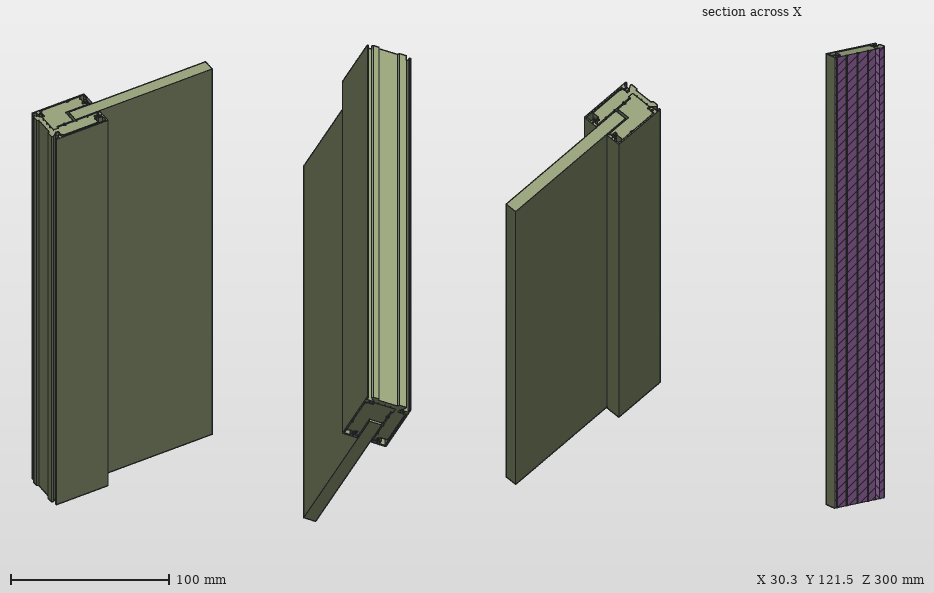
import cadquery as cq

LENGTH = 300.0
RAIL_WIDTH = 30.3
TOTAL_DEPTH = 121.5

GLASS_THICKNESS = 8.5
GLASS_DEPTH = 100.0
GLASS_END_Y = TOTAL_DEPTH - GLASS_DEPTH
GLASS_SIDE_GAP = 1.0
GLASS_END_GAP = 1.8
POCKET_HALF = GLASS_THICKNESS / 2 + GLASS_SIDE_GAP

COVER_TOP = 39.0
COVER_BOTTOM = 1.2
COVER_WALL = 1.0
COVER_OUTER = RAIL_WIDTH / 2
COVER_INNER = COVER_OUTER - COVER_WALL
FLANGE_UNDERSIDE = COVER_TOP - COVER_WALL
LIP_X = 4.8
LIP_EDGE_Y = 37.8
LIP_ROOT_Y = 37.0
PRONG_X = 7.5
PRONG_WIDTH = 0.5
LEG_X = 8.7
LEG_WIDTH = 1.5
HOOK_TIP_X = 10.0
HOOK_TOP = 6.0
HOOK_BOTTOM = 3.5
HOOK_SLOT_OUTER = 12.3
HOOK_SLOT_INNER = 11.5
HOOK_SLOT_FLOOR = 4.5
LEFT_PRONG_Y = 35.7
RIGHT_PRONG_Y = 34.5
LEFT_LEG_Y = 36.3
RIGHT_LEG_Y = 34.8

LEFT_SHOULDER = 34.5
LEFT_SHOULDER_RISE = 1.0
RIGHT_SHOULDER = 32.7
LEFT_CLAMP_OUTER = COVER_INNER
RIGHT_CLAMP_OUTER = 13.5
POST_TOP = 37.2
POST_SLOPE_Y = 35.7
SLOT_INNER = 7.0
SLOT_OUTER = 8.5
SLOT_FLOOR = 33.5
SLOT_LIP = 0.45
LEDGE_Y = GLASS_END_Y - GLASS_END_GAP
CLAMP_PARTING_X = GLASS_THICKNESS / 2
NOTCH_X = 8.7
NOTCH_TOP = 6.3
NOTCH_CHAMFER = 1.5
TAB_X = 6.0
TAB_TOP = 8.0
TAB_BOTTOM = 4.5

FOOT_RECESS = 1.2
FOOT_SLOPE = 0.5
FOOT_CHAMFER = 1.0
LEFT_FOOT_OUTER = -12.3
LEFT_FOOT_INNER = -7.5
RIGHT_FOOT_INNER = 6.5
RIGHT_FOOT_OUTER = 11.5
RIGHT_FLANK_X = 10.5
RIGHT_FLANK_Y = 2.7

GROOVE_WIDTH = 0.5
GROOVE_DEPTH = 0.5
FACE_GROOVE_Y = (13.5, 21.5, 29.7)
BASE_GROOVE_X = (-6.0, -1.5, 2.5)
SIDE_GROOVE_Y = 26.5
SIDE_GROOVE_WIDTH = 1.8


def extrude(points):
    """Extrude a closed outline along the whole length of the rail."""
    return cq.Workplane("XY").polyline(points).close().extrude(LENGTH)


def bar(x, y, width, height):
    """Full-length rectangular bar centred on (x, y)."""
    return cq.Workplane("XY").center(x, y).rect(width, height).extrude(LENGTH)


def make_glass():
    middle_y = GLASS_END_Y + GLASS_DEPTH / 2
    return bar(0, middle_y, GLASS_THICKNESS, GLASS_DEPTH)


def make_cover(side, prong_y, leg_y):
    """Cover with a sealing lip, a prong for the clamp slot, a clip leg and a slotted bottom hook.

    side is -1 for the left cover and +1 for the right one.
    """
    outline = [
        (COVER_OUTER, COVER_BOTTOM),
        (COVER_OUTER, COVER_TOP),
        (LIP_X, COVER_TOP),
        (LIP_X, LIP_EDGE_Y),
        (PRONG_X, LIP_ROOT_Y),
        (PRONG_X, prong_y),
        (PRONG_X + PRONG_WIDTH, prong_y),
        (PRONG_X + PRONG_WIDTH, FLANGE_UNDERSIDE),
        (LEG_X, FLANGE_UNDERSIDE),
        (LEG_X + LEG_WIDTH, leg_y),
        (LEG_X + LEG_WIDTH, FLANGE_UNDERSIDE),
        (COVER_INNER, FLANGE_UNDERSIDE),
        (COVER_INNER, HOOK_TOP),
        (HOOK_SLOT_OUTER, HOOK_TOP),
        (HOOK_SLOT_OUTER, HOOK_SLOT_FLOOR),
        (HOOK_SLOT_INNER, HOOK_SLOT_FLOOR),
        (HOOK_SLOT_INNER, HOOK_TOP),
        (HOOK_TIP_X, HOOK_TOP),
        (HOOK_TIP_X, HOOK_BOTTOM),
        (COVER_INNER, HOOK_BOTTOM),
        (COVER_INNER, COVER_BOTTOM),
    ]
    return extrude([(side * x, y) for x, y in outline])


def slotted_post(side, shoulder):
    """Outline of a clamp top, from the glass pocket out to the shoulder."""
    outline = [
        (POCKET_HALF, POST_TOP),
        (SLOT_INNER, POST_SLOPE_Y),
        (SLOT_INNER, SLOT_FLOOR),
        (SLOT_OUTER, SLOT_FLOOR),
        (SLOT_OUTER, POST_SLOPE_Y),
        (SLOT_OUTER + SLOT_LIP, POST_SLOPE_Y),
        (SLOT_OUTER + SLOT_LIP, shoulder),
    ]
    return [(side * x, y) for x, y in outline]


def make_left_clamp():
    clamp = extrude(
        slotted_post(-1, LEFT_SHOULDER)
        + [
            (-LEFT_CLAMP_OUTER + LEFT_SHOULDER_RISE, LEFT_SHOULDER),
            (-LEFT_CLAMP_OUTER, LEFT_SHOULDER + LEFT_SHOULDER_RISE),
            (-LEFT_CLAMP_OUTER, NOTCH_TOP + NOTCH_CHAMFER),
            (-LEFT_CLAMP_OUTER + NOTCH_CHAMFER, NOTCH_TOP),
            (-NOTCH_X, NOTCH_TOP),
            (-NOTCH_X, TAB_BOTTOM),
            (TAB_X, TAB_BOTTOM),
            (TAB_X, TAB_TOP),
            (CLAMP_PARTING_X, TAB_TOP),
            (CLAMP_PARTING_X, LEDGE_Y),
            (-POCKET_HALF, LEDGE_Y),
        ]
    )
    side_groove = bar(-LEFT_CLAMP_OUTER, SIDE_GROOVE_Y, 2 * GROOVE_DEPTH, SIDE_GROOVE_WIDTH)
    face_groove = bar(CLAMP_PARTING_X, FACE_GROOVE_Y[0], 2 * GROOVE_DEPTH, GROOVE_WIDTH)
    return clamp.cut(side_groove).cut(face_groove)


def make_right_clamp():
    """Clamp and base in one piece, joined by a neck beside the tab of the left clamp."""
    clamp = extrude(
        slotted_post(1, RIGHT_SHOULDER)
        + [
            (RIGHT_CLAMP_OUTER, RIGHT_SHOULDER),
            (RIGHT_CLAMP_OUTER, NOTCH_TOP + NOTCH_CHAMFER),
            (RIGHT_CLAMP_OUTER - NOTCH_CHAMFER, NOTCH_TOP),
            (NOTCH_X, NOTCH_TOP),
            (NOTCH_X, TAB_BOTTOM),
            (RIGHT_FLANK_X, RIGHT_FLANK_Y),
            (RIGHT_FOOT_OUTER, FOOT_RECESS),
            (RIGHT_FOOT_OUTER, 0),
            (RIGHT_FOOT_INNER, 0),
            (RIGHT_FOOT_INNER - FOOT_SLOPE, FOOT_RECESS),
            (LEFT_FOOT_INNER + FOOT_SLOPE, FOOT_RECESS),
            (LEFT_FOOT_INNER, 0),
            (LEFT_FOOT_OUTER + FOOT_CHAMFER, 0),
            (LEFT_FOOT_OUTER, FOOT_CHAMFER),
            (-NOTCH_X, TAB_BOTTOM),
            (TAB_X, TAB_BOTTOM),
            (TAB_X, TAB_TOP),
            (POCKET_HALF, TAB_TOP),
        ]
    )
    for y in FACE_GROOVE_Y:
        clamp = clamp.cut(bar(POCKET_HALF, y, 2 * GROOVE_DEPTH, GROOVE_WIDTH))
    for x in BASE_GROOVE_X:
        clamp = clamp.cut(bar(x, TAB_BOTTOM, GROOVE_WIDTH, 2 * GROOVE_DEPTH))
    return clamp


glass = make_glass()
left_clamp = make_left_clamp()
right_clamp = make_right_clamp()
left_cover = make_cover(-1, LEFT_PRONG_Y, LEFT_LEG_Y)
right_cover = make_cover(1, RIGHT_PRONG_Y, RIGHT_LEG_Y)

result = cq.Compound.makeCompound(
    [glass.val(), left_clamp.val(), right_clamp.val(), left_cover.val(), right_cover.val()]
)